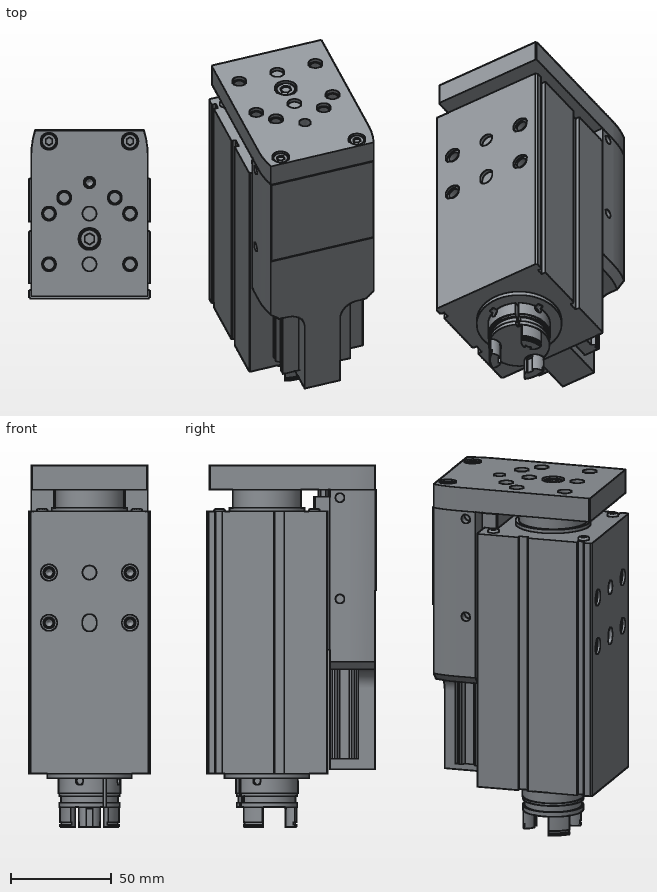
import cadquery as cq
import math


housing_width = 60.0
housing_depth = 59.9
housing_height = 130.0
axis_y = 29.8
total_height = 179.3
plate_thickness = 12.0
plate_gap = 10.8
plate_width = 58.0
plate_front = 1.3
slide_back = 83.4
slide_back_width = 54.1
taper_start = 71.0
table_front = 61.0
plate_bottom = housing_height + plate_gap
plate_top = plate_bottom + plate_thickness
thread_half_pitch = 20.0

housing_front_chamfer = 0.9
housing_back_chamfer = 0.5
side_groove_depth = 2.2
side_grooves = [(4.5, 7.7), (33.7, 38.4)]
groove_lip_chamfer = 0.5
collar_diameter = 37.3
collar_height = 1.8
cap_screw_offset = 23.5
cap_screw_diameter = 5.5
cap_screw_height = 1.3
cap_screw_rounding = 1.0
cap_screw_socket = 2.5
socket_depth = 0.9
front_upper_z = 99.7
front_lower_z = 74.8
dowel_diameter = 7.0
dowel_depth = 2.0
dowel_slot_height = 8.6
front_thread_steps = [(8.0, 1.5), (5.5, 5.4), (4.1, 9.0)]
front_thread_tip = 1.5

rod_diameter = 34.0
rod_bore_depth = 18.0

plate_front_chamfer = 0.5
thread_half_square = 12.5
extra_thread_y = 50.2
plate_thread_steps = [(7.0, 2.0), (5.5, 9.0)]
stop_y = 57.7
stop_hole_steps = [(5.7, 8.0), (4.1, 9.0)]
stop_hole_tip = 1.5
stop_hex = 5.0
plate_screw_y = 78.2
plate_screw_bore = 8.5
plate_screw_head = 8.0
plate_screw_socket = 4.0
rod_screw_bore = 11.0
rod_screw_head = 10.0
rod_screw_socket = 5.5
screw_recess_depth = 2.2
screw_head_height = 1.5
screw_head_chamfer = 0.5

table_bottom = 55.5
table_chamfer = 4.0
tongue_half_width = 9.3
tongue_bottom = 2.2
tongue_fillet = 9.0
tag_width = 53.8
tag_thickness = 0.5
tag_bottom = 90.9
side_hole_diameter = 4.5
side_hole_depth = 5.4
side_hole_y = 66.0
side_hole_heights = [86.6, 136.8]

guide_half_width = 17.8
rail_back = 75.0
rail_bottom = 7.4
guide_top = 137.3
spacer_bottom = 61.3
block_front = 53.0
block_chamfer = 0.5
race_floor = (66.0, 70.5)
race_mouth = (64.7, 71.7)
race_depth = 1.8
rail_slots_y = [62.8, 73.5]
rail_slot_width = 1.0
rail_slot_depth = 0.9

flange_diameter = 42.1
neck_diameter = 30.8
step_diameter = 30.1
seal_groove_diameter = 28.5
flange_end = -2.3
neck_end = -9.7
seal_groove_top = -11.1
seal_groove_bottom = -14.3
neck_bottom = -16.7
connector_bottom = plate_top - total_height
lug_circle_radius = 14.3
lug_radius = 5.4
lug_rim_diameter = 29.8
lug_angles = [90, 210, 330]
lug_slot_width = 3.2
lug_slot_reach = 10.4
lug_slot_top = -17.4
latch_groove_depth = 0.7
latch_groove_height = 1.3
latch_groove_bottom = connector_bottom + 1.3
lug_chamfer = 0.5
clip_hole_diameter = 4.0
clip_hole_depth = 1.8
clip_hole_z = -3.5
clip_hole_angles = [-109, -19]
key_slot_x = 7.5
key_slot_width = 1.5
key_slot_depth = 2.2


def box(x0, x1, y0, y1, z0, z1):
    """Block between the given limits."""
    return cq.Workplane("XY").box(x1 - x0, y1 - y0, z1 - z0, centered=False).translate((x0, y0, z0))


def cylinder(diameter, x, y, z0, z1):
    """Vertical cylinder between two heights."""
    return cq.Workplane("XY", origin=(x, y, z0)).circle(diameter / 2).extrude(z1 - z0)


def hexagon(corner_diameter, x, y, z0, z1):
    """Vertical hexagonal prism with two corners on the Y direction."""
    prism = cq.Workplane("XY").polygon(6, corner_diameter).extrude(z1 - z0)
    return prism.rotate((0, 0, 0), (0, 0, 1), 90).translate((x, y, z0))


def stepped_hole(steps, tip):
    """Cutter for a hole going down from the origin in steps, with a conical tip of the given length."""
    profile = cq.Workplane("XZ").moveTo(0, 0)
    start_depth = 0
    for diameter, depth in steps:
        profile = profile.lineTo(diameter / 2, -start_depth).lineTo(diameter / 2, -depth)
        start_depth = depth
    return profile.lineTo(0, -start_depth - tip).close().revolve(360, (0, 0, 0), (0, 1, 0))


def cap_screw(x, y):
    """Rounded screw head standing on top of the housing."""
    top = housing_height + cap_screw_height
    head = cylinder(cap_screw_diameter, x, y, housing_height, top)
    head = head.faces(">Z").edges().fillet(cap_screw_rounding)
    return head.cut(hexagon(cap_screw_socket, x, y, top - socket_depth, top))


def make_housing():
    half = housing_width / 2
    body = box(-half, half, 0, housing_depth, 0, housing_height)
    body = body.edges("|Z and <Y").chamfer(housing_front_chamfer)
    body = body.edges("|Z and >Y").chamfer(housing_back_chamfer)

    for side in (-1, 1):
        inner = side * (half - side_groove_depth)
        outer = side * half
        for start, end in side_grooves:
            lip = side * groove_lip_chamfer
            outline = [
                (inner, start), (outer - lip, start), (outer, start - groove_lip_chamfer),
                (outer, end), (inner, end),
            ]
            body = body.cut(cq.Workplane("XY").polyline(outline).close().extrude(housing_height))

    collar_top = housing_height + collar_height
    collar = cylinder(collar_diameter, 0, axis_y, housing_height, collar_top)
    body = body.union(collar)
    for x in (-cap_screw_offset, cap_screw_offset):
        for y in (axis_y - cap_screw_offset, axis_y + cap_screw_offset):
            body = body.union(cap_screw(x, y))
    body = body.cut(cylinder(rod_diameter, 0, axis_y, housing_height - rod_bore_depth, collar_top))

    front_thread = stepped_hole(front_thread_steps, front_thread_tip).rotate((0, 0, 0), (1, 0, 0), 90)
    for x in (-thread_half_pitch, thread_half_pitch):
        for z in (front_lower_z, front_upper_z):
            body = body.cut(front_thread.translate((x, 0, z)))
    front = cq.Workplane("XZ")
    dowel_hole = front.center(0, front_upper_z).circle(dowel_diameter / 2).extrude(-dowel_depth)
    dowel_slot = front.center(0, front_lower_z).slot2D(dowel_slot_height, dowel_diameter, 90)
    dowel_slot = dowel_slot.extrude(-dowel_depth)
    return body.cut(dowel_hole).cut(dowel_slot)


def make_rod():
    return cylinder(rod_diameter, 0, axis_y, housing_height - rod_bore_depth, plate_bottom)


def slide_outline(front_y, z):
    """Outline shared by the plate and the table: straight sides that curve in tangentially at the back."""
    half = plate_width / 2
    back_half = slide_back_width / 2
    return (
        cq.Workplane("XY", origin=(0, 0, z))
        .moveTo(-half, front_y)
        .lineTo(half, front_y)
        .lineTo(half, taper_start)
        .tangentArcPoint((back_half, slide_back), relative=False)
        .lineTo(-back_half, slide_back)
        .threePointArc(taper_arc_middle(), (-half, taper_start))
        .close()
    )


def taper_arc_middle():
    """Middle point of the left-hand curved side, which is tangent to the straight side."""
    length = slide_back - taper_start
    inset = (plate_width - slide_back_width) / 2
    radius = (length**2 + inset**2) / (2 * inset)
    half_angle = math.asin(length / radius) / 2
    x = -plate_width / 2 + radius * (1 - math.cos(half_angle))
    return (x, taper_start + radius * math.sin(half_angle))


def sunk_screw(plate, bore, head, socket, x, y):
    """Screw head sunk in the plate, with a hexagon socket."""
    floor = plate_top - screw_recess_depth
    head_top = floor + screw_head_height
    plate = plate.cut(cylinder(bore, x, y, floor, plate_top))
    screw = cylinder(head, x, y, floor, head_top).faces(">Z").edges().chamfer(screw_head_chamfer)
    screw = screw.cut(hexagon(socket, x, y, head_top - socket_depth, head_top))
    return plate.union(screw)


def make_plate():
    plate = slide_outline(plate_front, plate_bottom).extrude(plate_thickness)
    plate = plate.edges("|Z and <Y").chamfer(plate_front_chamfer)

    row_ys = (axis_y - thread_half_square, axis_y + thread_half_square)
    thread_places = [(side * thread_half_pitch, y) for side in (-1, 1) for y in row_ys]
    thread_places += [(side * thread_half_square, extra_thread_y) for side in (-1, 1)]
    for x, y in thread_places:
        plate = plate.cut(stepped_hole(plate_thread_steps, 0).translate((x, y, plate_top)))
    for y in row_ys:
        plate = plate.cut(cylinder(dowel_diameter, 0, y, plate_top - dowel_depth, plate_top))

    for x in (-thread_half_pitch, thread_half_pitch):
        plate = sunk_screw(plate, plate_screw_bore, plate_screw_head, plate_screw_socket, x, plate_screw_y)
    plate = sunk_screw(plate, rod_screw_bore, rod_screw_head, rod_screw_socket, 0, axis_y)

    plate = plate.cut(stepped_hole(stop_hole_steps, stop_hole_tip).translate((0, stop_y, plate_top)))
    return plate.union(hexagon(stop_hex, 0, stop_y, guide_top, plate_bottom))


def make_table():
    wing_bottom = table_bottom - table_chamfer
    table = slide_outline(table_front, wing_bottom).extrude(plate_bottom - wing_bottom)
    side_edges = table.faces("<Z").edges("not(<Y or >Y)")
    table = table.newObject(side_edges.vals()).chamfer(table_chamfer)

    flare = tongue_half_width + tongue_fillet
    arc_offset = tongue_fillet * (1 - math.sqrt(0.5))
    tongue = (
        cq.Workplane("XZ", origin=(0, table_front, 0))
        .moveTo(-tongue_half_width, tongue_bottom)
        .lineTo(tongue_half_width, tongue_bottom)
        .lineTo(tongue_half_width, wing_bottom - tongue_fillet)
        .threePointArc((tongue_half_width + arc_offset, wing_bottom - arc_offset), (flare, wing_bottom))
        .lineTo(-flare, wing_bottom)
        .threePointArc(
            (-tongue_half_width - arc_offset, wing_bottom - arc_offset),
            (-tongue_half_width, wing_bottom - tongue_fillet),
        )
        .close()
        .extrude(table_front - slide_back)
    )
    tag = box(-tag_width / 2, tag_width / 2, slide_back, slide_back + tag_thickness, tag_bottom, plate_bottom)
    table = table.union(tongue).union(tag)

    channel = box(-guide_half_width, guide_half_width, table_front, rail_back, rail_bottom, plate_bottom)
    table = table.cut(channel)

    half = plate_width / 2
    for side in (-1, 1):
        face = cq.Workplane("YZ", origin=(side * half, 0, 0))
        for z in side_hole_heights:
            hole = face.center(side_hole_y, z).circle(side_hole_diameter / 2).extrude(-side * side_hole_depth)
            table = table.cut(hole)
    return table


def make_guide():
    rail = box(-guide_half_width, guide_half_width, table_front, rail_back, rail_bottom, guide_top)
    for side in (-1, 1):
        outer = side * guide_half_width
        floor = side * (guide_half_width - race_depth)
        race = [
            (outer, race_mouth[0]), (floor, race_floor[0]),
            (floor, race_floor[1]), (outer, race_mouth[1]),
        ]
        rail = rail.cut(cq.Workplane("XY").polyline(race).close().extrude(guide_top))
        for y in rail_slots_y:
            slot = cq.Workplane("XY").center(outer, y).rect(2 * rail_slot_depth, rail_slot_width)
            rail = rail.cut(slot.extrude(guide_top))
    spacer = box(-guide_half_width, guide_half_width, housing_depth, table_front, spacer_bottom, guide_top)
    block = box(-guide_half_width, guide_half_width, block_front, table_front, housing_height, guide_top)
    block = block.edges("|Z and <Y").chamfer(block_chamfer)
    return rail.union(spacer).union(block)


def connector_lug(angle):
    """Rounded lug on the rim of the connector, trimmed by its outer diameter and slotted inside."""
    lug = cylinder(2 * lug_radius, lug_circle_radius, 0, connector_bottom, neck_bottom)
    envelope = cylinder(lug_rim_diameter, 0, 0, connector_bottom, neck_bottom)
    envelope = envelope.faces("<Z").edges().chamfer(lug_chamfer)
    latch_groove_top = latch_groove_bottom + latch_groove_height
    ring = cylinder(lug_rim_diameter, 0, 0, latch_groove_bottom, latch_groove_top)
    core_diameter = lug_rim_diameter - 2 * latch_groove_depth
    ring = ring.cut(cylinder(core_diameter, 0, 0, latch_groove_bottom, latch_groove_top))
    half_slot = lug_slot_width / 2
    slot = box(0, lug_slot_reach, -half_slot, half_slot, connector_bottom, lug_slot_top)
    lug = lug.intersect(envelope).cut(ring).cut(slot)
    return lug.rotate((0, 0, 0), (0, 0, 1), angle).translate((0, axis_y, 0))


def make_connector():
    sections = [
        (flange_diameter, flange_end, 0),
        (neck_diameter, neck_end, flange_end),
        (step_diameter, seal_groove_top, neck_end),
        (seal_groove_diameter, seal_groove_bottom, seal_groove_top),
        (step_diameter, neck_bottom, seal_groove_bottom),
    ]
    connector = cq.Workplane("XY")
    for diameter, bottom, top in sections:
        connector = connector.union(cylinder(diameter, 0, axis_y, bottom, top))

    for angle in clip_hole_angles:
        start = neck_diameter / 2 - clip_hole_depth
        hole = cq.Workplane("YZ", origin=(start, 0, clip_hole_z)).circle(clip_hole_diameter / 2)
        hole = hole.extrude(2 * clip_hole_depth).rotate((0, 0, 0), (0, 0, 1), angle)
        connector = connector.cut(hole.translate((0, axis_y, 0)))

    neck_radius = neck_diameter / 2
    surface_y = axis_y - math.sqrt(neck_radius**2 - key_slot_x**2)
    half_slot = key_slot_width / 2
    key_slot = box(
        key_slot_x - half_slot, key_slot_x + half_slot,
        axis_y - neck_radius, surface_y + key_slot_depth,
        neck_bottom, flange_end,
    )
    connector = connector.cut(key_slot)
    for angle in lug_angles:
        connector = connector.union(connector_lug(angle))
    return connector


housing = make_housing()
rod = make_rod()
plate = make_plate()
table = make_table()
guide = make_guide()
connector = make_connector()

result = cq.Compound.makeCompound(
    [housing.val(), rod.val(), plate.val(), table.val(), guide.val(), connector.val()]
)